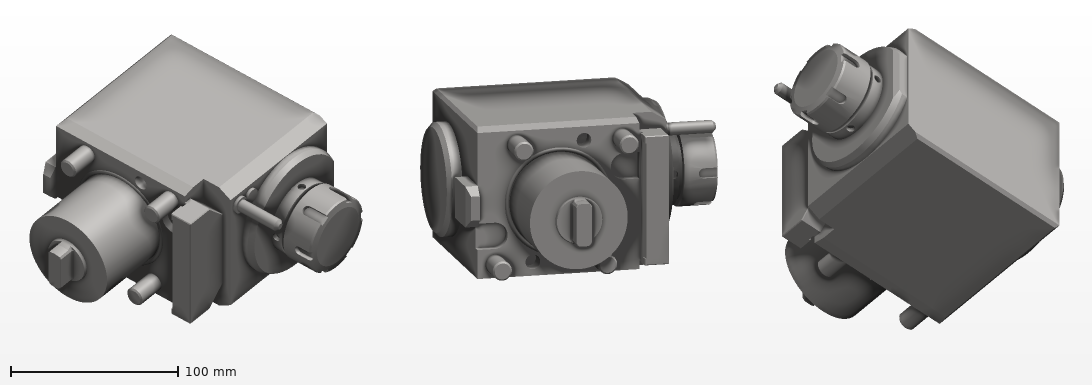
import cadquery as cq
import math


housing_left = -50.0
step_x = 50.0
housing_right = 71.0
step_y = 17.6
housing_back = 108.0
housing_half_height = 47.0
edge_chamfer = 2.0
front_chamfer_length = 7.9
front_chamfer_drop = 2.0
right_chamfer_length = 9.0
right_chamfer_drop = 5.2

spindle_y = 69.8
flange_radius = 41.3
flange_end = 79.0
flange_flat_offset = 37.2
flange_chamfer_length = 3.8
flange_chamfer_drop = 1.8
collar_radius = 24.1
collar_end = 86.7
neck_radius = 20.5
nut_start = 89.5
nut_radius = 25.0
nut_rim_start = 109.0
nut_rim_end = 110.2
nut_rim_radius = 24.4
nut_end = 111.1
nut_face_radius = 19.6
collar_hole_diameter = 5.2
collar_hole_x = 83.1
collar_hole_depth = 3.0
collar_hole_count = 4
nut_slot_count = 6
nut_slot_width = 6.2
nut_slot_floor = 22.2
nut_slot_start = 98.4
nut_long_slot_start = 94.6
nut_long_slots = (1, 2)

cap_radius = 34.6
cap_end = -59.2
cap_chamfer = 2.7

spigot_radius = 30.2
spigot_end = -49.0
seal_ring_radius = 31.8
seal_ring_section = 1.4
seal_ring_protrusion = 0.9
boss_radius = 14.5
boss_end_radius = 14.0
boss_end = -50.9
tongue_width = 10.0
tongue_end_radius = 13.2
tongue_flare_end = -54.0
tongue_end = -62.0
tongue_corner_chamfer = 1.0
tongue_corner_z = 11.2
tongue_rim_chamfer = 0.4
tongue_root_chamfer = 0.9

bolt_radius = 5.9
bolt_end = -18.6
bolt_chamfer = 1.0
bolt_z = 36.5
upper_bolt_x = (-25.9, 39.2)
pin_hole_diameter = 9.0
pin_hole_x = 15.8
pin_hole_depth = 10.0
slot_width = 16.2
slot_depth = 5.0
slot_z = 19.0
left_slot_end = -31.4
right_slot_end = 32.4

key_thickness = 7.7
key_half_width = 12.6
key_back = 23.9
key_shoulder = -0.6
key_end = -5.6
key_tip_half_width = 7.4
key_tip_thickness = 5.4

block_right = 65.0
block_front = -13.0
block_half_length = 39.8
block_slope_start = 5.2
block_edge_chamfer = 0.5
block_relief = 1.2
block_groove_front = -3.6
block_bevel_start = -8.0
block_bevel_half_length = 35.5

pin_y = 25.2
pin_z = 33.8
pin_radius = 3.9
pin_end = 103.3
pin_chamfer = 2.0
seat_radius = 5.5
seat_end = 73.0
plug_y = 35.8
plug_radius = 4.8


def box_between(x_range, y_range, z_range):
    """Box from its limits along each axis."""
    size = [high - low for low, high in (x_range, y_range, z_range)]
    corner = (x_range[0], y_range[0], z_range[0])
    return cq.Workplane("XY").box(*size, centered=False).translate(corner)


def rod_x(x_start, x_end, radius, y, z):
    """Cylinder along X."""
    plane = cq.Workplane("YZ", origin=(x_start, y, z))
    return plane.circle(radius).extrude(x_end - x_start)


def rod_y(y_start, y_end, radius, x=0.0, z=0.0):
    """Cylinder along -Y, from y_start down to y_end."""
    plane = cq.Workplane("XZ", origin=(x, y_start, z))
    return plane.circle(radius).extrude(y_start - y_end)


def make_housing():
    """Chamfered block made from two crossing outlines, with a step at its front right."""
    top = housing_half_height
    shoulder = top - edge_chamfer
    right_shoulder = top - right_chamfer_drop
    across = (
        cq.Workplane("XZ")
        .moveTo(housing_left, shoulder)
        .lineTo(housing_left + edge_chamfer, top)
        .lineTo(housing_right - right_chamfer_length, top)
        .lineTo(housing_right, right_shoulder)
        .lineTo(housing_right, -right_shoulder)
        .lineTo(housing_right - right_chamfer_length, -top)
        .lineTo(housing_left + edge_chamfer, -top)
        .lineTo(housing_left, -shoulder)
        .close()
        .extrude(-housing_back)
    )
    front_shoulder = top - front_chamfer_drop
    along = (
        cq.Workplane("YZ", origin=(housing_left, 0, 0))
        .moveTo(0, front_shoulder)
        .lineTo(front_chamfer_length, top)
        .lineTo(housing_back - edge_chamfer, top)
        .lineTo(housing_back, shoulder)
        .lineTo(housing_back, -shoulder)
        .lineTo(housing_back - edge_chamfer, -top)
        .lineTo(front_chamfer_length, -top)
        .lineTo(0, -front_shoulder)
        .close()
        .extrude(housing_right - housing_left)
    )
    step = box_between((step_x, housing_right), (0, step_y), (-top, top))
    return across.intersect(along).cut(step)


def cut_mounting_face(body):
    """Two pin holes and two round-ended slots open to the sides."""
    slot_radius = slot_width / 2
    for side, slot_end, edge_x in (
        (-1, left_slot_end, housing_left),
        (1, right_slot_end, step_x),
    ):
        hole = rod_y(pin_hole_depth, 0, pin_hole_diameter / 2, side * pin_hole_x, side * bolt_z)
        centre_x = slot_end + side * slot_radius
        centre_z = side * slot_z
        round_end = rod_y(slot_depth, 0, slot_radius, centre_x, centre_z)
        channel = box_between(
            sorted((centre_x, edge_x)),
            (0, slot_depth),
            (centre_z - slot_radius, centre_z + slot_radius),
        )
        body = body.cut(hole).cut(round_end).cut(channel)
    return body


def make_cap():
    """Round chamfered cap on the left face."""
    cap = rod_x(cap_end, housing_left, cap_radius, spindle_y, 0)
    return cap.faces("<X").chamfer(cap_chamfer)


def make_flange():
    """Round flange with one flat on its back side and a long shallow chamfer."""
    flange = rod_x(housing_right, flange_end, flange_radius, spindle_y, 0)
    flat_y = spindle_y + flange_flat_offset
    keep = box_between(
        (housing_right, flange_end),
        (spindle_y - flange_radius, flat_y),
        (-flange_radius, flange_radius),
    )
    flange = flange.intersect(keep)
    return flange.faces(">X").chamfer(flange_chamfer_length, flange_chamfer_drop)


def make_spindle():
    """Collar, neck and collet nut turned about the spindle axis."""
    profile = [
        (housing_right, 0),
        (housing_right, collar_radius),
        (collar_end, collar_radius),
        (collar_end, neck_radius),
        (nut_start, neck_radius),
        (nut_start, nut_radius),
        (nut_rim_start, nut_radius),
        (nut_rim_end, nut_rim_radius),
        (nut_end, nut_face_radius),
        (nut_end, 0),
    ]
    spindle = cq.Workplane("XY").polyline(profile).close().revolve(360, (0, 0, 0), (1, 0, 0))
    for index in range(collar_hole_count):
        hole = (
            cq.Workplane("XY", origin=(collar_hole_x, 0, collar_radius - collar_hole_depth))
            .circle(collar_hole_diameter / 2)
            .extrude(nut_radius)
        )
        angle = index * 360 / collar_hole_count
        spindle = spindle.cut(hole.rotate((0, 0, 0), (1, 0, 0), angle))
    for index in range(nut_slot_count):
        start = nut_long_slot_start if index in nut_long_slots else nut_slot_start
        angle = 90 - index * 360 / nut_slot_count
        spindle = spindle.cut(nut_slot(start).rotate((0, 0, 0), (1, 0, 0), angle))
    return spindle.translate((0, spindle_y, 0))


def nut_slot(start):
    """Round-ended wrench slot facing +Z, open at the nut face."""
    radius = nut_slot_width / 2
    plane = cq.Workplane("XY", origin=(0, 0, nut_slot_floor))
    return (
        plane.moveTo(nut_end, -radius)
        .lineTo(start + radius, -radius)
        .threePointArc((start, 0), (start + radius, radius))
        .lineTo(nut_end, radius)
        .close()
        .extrude(nut_radius)
    )


def make_drive():
    """Spigot with its seal ring, the end boss and the drive tongue."""
    drive = rod_y(0, spigot_end, spigot_radius)
    ring_y = seal_ring_section - seal_ring_protrusion
    ring = cq.Workplane("XY").moveTo(seal_ring_radius, ring_y).circle(seal_ring_section)
    ring = ring.revolve(360, (0, 0, 0), (0, 1, 0))
    boss = turn_about_y(
        [
            (0, spigot_end),
            (boss_radius, spigot_end),
            (boss_end_radius, boss_end),
            (0, boss_end),
        ]
    )
    return drive.union(ring).union(boss).union(make_tongue())


def turn_about_y(profile):
    """Solid of revolution from (radius, y) points."""
    return cq.Workplane("XY").polyline(profile).close().revolve(360, (0, 0, 0), (0, 1, 0))


def make_tongue():
    """Flat tongue with round flared ends, bevelled corners and a bevelled root."""
    half_width = tongue_width / 2
    bevel_width = half_width - tongue_corner_chamfer
    end_z = boss_end_radius
    bevel_z = math.sqrt(tongue_end_radius**2 - bevel_width**2)
    bevel_slope = tongue_corner_chamfer / (bevel_z - tongue_corner_z)
    bevel_end_x = half_width - bevel_slope * (end_z - tongue_corner_z)
    quarter = [(half_width, tongue_corner_z), (bevel_end_x, end_z)]
    outline = quarter + [(-x, z) for x, z in reversed(quarter)]
    outline += [(-x, -z) for x, z in outline]
    bar = cq.Workplane("XZ", origin=(0, spigot_end, 0)).polyline(outline).close()
    bar = bar.extrude(spigot_end - tongue_end)
    bar = bar.faces("<Y").chamfer(tongue_rim_chamfer)
    envelope = turn_about_y(
        [
            (0, spigot_end),
            (boss_end_radius, spigot_end),
            (boss_end_radius, boss_end),
            (tongue_end_radius, tongue_flare_end),
            (tongue_end_radius, tongue_end),
            (0, tongue_end),
        ]
    )
    root_half_width = half_width + tongue_root_chamfer
    root = (
        cq.Workplane("XY", origin=(0, 0, -tongue_corner_z))
        .moveTo(-root_half_width, boss_end)
        .lineTo(-half_width, boss_end - tongue_root_chamfer)
        .lineTo(half_width, boss_end - tongue_root_chamfer)
        .lineTo(root_half_width, boss_end)
        .close()
        .extrude(2 * tongue_corner_z)
    )
    return bar.intersect(envelope).union(root)


def make_bolts():
    """Four bolts; the lower pair is the upper pair turned half a turn about Y."""
    bolts = cq.Workplane("XY")
    for side in (1, -1):
        for x in upper_bolt_x:
            bolt = rod_y(0, bolt_end, bolt_radius, side * x, side * bolt_z)
            bolts = bolts.add(bolt.faces("<Y").chamfer(bolt_chamfer))
    return bolts.combine()


def make_key():
    """Flat key whose front end tapers to a smaller tip."""
    key_left = housing_left - key_thickness
    plan = (
        cq.Workplane("XY", origin=(0, 0, -key_half_width))
        .moveTo(housing_left, key_back)
        .lineTo(key_left, key_back)
        .lineTo(key_left, key_shoulder)
        .lineTo(housing_left - key_tip_thickness, key_end)
        .lineTo(housing_left, key_end)
        .close()
        .extrude(2 * key_half_width)
    )
    side = (
        cq.Workplane("YZ", origin=(key_left, 0, 0))
        .moveTo(key_back, key_half_width)
        .lineTo(key_shoulder, key_half_width)
        .lineTo(key_end, key_tip_half_width)
        .lineTo(key_end, -key_tip_half_width)
        .lineTo(key_shoulder, -key_half_width)
        .lineTo(key_back, -key_half_width)
        .close()
        .extrude(key_thickness)
    )
    return plan.intersect(side)


def make_block():
    """Long block in the housing step, its ends sloping at 45 degrees towards the back.

    Its inner face has a shallow groove and a shorter bevel along the front edge.
    """
    back_half_length = block_half_length - (step_y - block_slope_start)
    block = (
        cq.Workplane("YZ", origin=(step_x, 0, 0))
        .moveTo(block_front, block_half_length)
        .lineTo(block_slope_start, block_half_length)
        .lineTo(step_y, back_half_length)
        .lineTo(step_y, -back_half_length)
        .lineTo(block_slope_start, -block_half_length)
        .lineTo(block_front, -block_half_length)
        .close()
        .extrude(block_right - step_x)
    )
    block = block.faces("<Y or >X").edges().chamfer(block_edge_chamfer)
    groove = box_between(
        (step_x, step_x + block_relief),
        (block_groove_front, 0),
        (-block_half_length, block_half_length),
    )
    bevel = (
        cq.Workplane("XY", origin=(0, 0, -block_bevel_half_length))
        .moveTo(step_x, block_bevel_start)
        .lineTo(step_x + block_relief, block_front)
        .lineTo(step_x, block_front)
        .close()
        .extrude(2 * block_bevel_half_length)
    )
    return block.cut(groove).cut(bevel)


def make_stop_pin():
    """Stop pin on its round seat, with a plug beside it."""
    pin = rod_x(housing_right, pin_end, pin_radius, pin_y, pin_z).faces(">X").chamfer(pin_chamfer)
    seat = rod_x(housing_right, seat_end, seat_radius, pin_y, pin_z)
    plug = rod_x(housing_right, seat_end, plug_radius, plug_y, pin_z)
    return pin.union(seat).union(plug)


result = cut_mounting_face(make_housing())
for piece in (
    make_cap(),
    make_flange(),
    make_spindle(),
    make_drive(),
    make_bolts(),
    make_key(),
    make_block(),
    make_stop_pin(),
):
    result = result.union(piece)